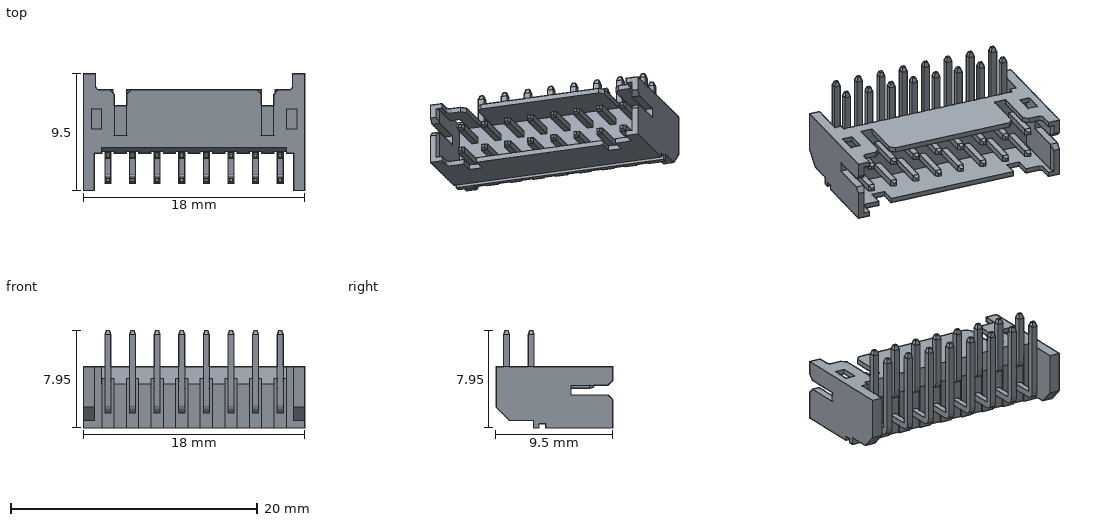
import cadquery as cq


HOUSING_LENGTH = 18.0
HOUSING_HEIGHT = 5.0
HALF_LENGTH = HOUSING_LENGTH / 2
REAR_REACH = 3.02
FRONT_REACH = 6.48
SHROUD_FRONT = 5.18

REAR_WING_THICKNESS = 0.9
FRONT_WING_THICKNESS = 1.0
WING_FILLET = 0.3
WING_BOTTOM = 0.6
WING_CHAMFER = 1.1
NOTCH_BOTTOM = 2.7
NOTCH_TOP = 3.47
NOTCH_DEPTH = 3.4
NOTCH_LEAD_IN = 0.4
GROOVE_REAR = 0.48
GROOVE_WIDTH = 0.53
GROOVE_DEPTH = 0.35

CAVITY_HALF_LENGTH = 8.35
CAVITY_REAR = 1.48
MOUTH_FLARE = 0.15
MOUTH_FLARE_LENGTH = 0.35
WALL_THICKNESS = 0.4
CAVITY_HEIGHT = HOUSING_HEIGHT - 2 * WALL_THICKNESS

SLOT_INNER_X = 5.48
TOP_SLOT_OUTER_X = 6.47
BOTTOM_SLOT_OUTER_X = 6.58
BOTTOM_SLOT_REAR = 3.88
SLOT_CORNER_CHAMFER = 0.38
WINDOW_INNER_X = 7.52
WINDOW_REAR = 2.0
WINDOW_LENGTH = 1.6

BEVEL_HALF_LENGTH = 7.53
BEVEL_DEPTH = 0.47
BEVEL_HEIGHT = 1.4
RELIEF_DEPTH = 0.14
RELIEF_WIDTH = 1.0

PIN_PITCH = 2.0
PINS_PER_ROW = 8
ROW_SPACING = 2.0
PIN_SIZE = 0.5
PIN_TOP = 7.95
PIN_FRONT = 4.95
TIP_LENGTH = 0.36
TIP_SIZE = 0.25
OUTER_BEND_RADIUS = 0.55
INNER_BEND_RADIUS = 0.2
LOWER_ROW_Z = 1.47
LOWER_ROW_Y = -2.17


def box(x_min, x_max, y_min, y_max, z_min, z_max):
    """Axis-aligned block between the given limits."""
    block = cq.Workplane("XY").box(x_max - x_min, y_max - y_min, z_max - z_min, centered=False)
    return block.translate((x_min, y_min, z_min))


def mirrored(shape):
    """The shape joined with its mirror image across X = 0."""
    return shape.union(shape.mirror("YZ"))


def plan_outline():
    """Housing plan: shroud block with end walls reaching to the front and rear."""
    rear_inner = HALF_LENGTH - REAR_WING_THICKNESS
    front_inner = HALF_LENGTH - FRONT_WING_THICKNESS
    half = (
        cq.Workplane("XY")
        .moveTo(0, 0)
        .lineTo(rear_inner, 0)
        .lineTo(rear_inner, -REAR_REACH)
        .lineTo(HALF_LENGTH, -REAR_REACH)
        .lineTo(HALF_LENGTH, FRONT_REACH)
        .lineTo(front_inner, FRONT_REACH)
        .lineTo(front_inner, SHROUD_FRONT + WING_FILLET)
        .radiusArc((front_inner - WING_FILLET, SHROUD_FRONT), WING_FILLET)
        .lineTo(0, SHROUD_FRONT)
        .close()
        .extrude(HOUSING_HEIGHT)
    )
    return mirrored(half)


def side_outline():
    """Housing side profile: stepped rear feet, bottom groove and front notch."""
    groove_front = GROOVE_REAR + GROOVE_WIDTH
    notch_end = FRONT_REACH - NOTCH_DEPTH
    lead_in_start = FRONT_REACH - NOTCH_LEAD_IN
    points = [
        (-REAR_REACH, HOUSING_HEIGHT),
        (-REAR_REACH, WING_BOTTOM + WING_CHAMFER),
        (-REAR_REACH + WING_CHAMFER, WING_BOTTOM),
        (0, WING_BOTTOM),
        (0, 0),
        (GROOVE_REAR, 0),
        (GROOVE_REAR, GROOVE_DEPTH),
        (groove_front, GROOVE_DEPTH),
        (groove_front, 0),
        (FRONT_REACH, 0),
        (FRONT_REACH, NOTCH_BOTTOM - NOTCH_LEAD_IN),
        (lead_in_start, NOTCH_BOTTOM),
        (notch_end, NOTCH_BOTTOM),
        (notch_end, NOTCH_TOP),
        (lead_in_start, NOTCH_TOP),
        (FRONT_REACH, NOTCH_TOP + NOTCH_LEAD_IN),
        (FRONT_REACH, HOUSING_HEIGHT),
    ]
    return cq.Workplane("YZ").polyline(points).close().extrude(HALF_LENGTH, both=True)


def cavity():
    """Mating cavity, open toward +Y, with its end faces flared at the mouth."""
    flare_start = FRONT_REACH - MOUTH_FLARE_LENGTH
    mouth_half_length = CAVITY_HALF_LENGTH + MOUTH_FLARE
    points = [
        (0, CAVITY_REAR),
        (CAVITY_HALF_LENGTH, CAVITY_REAR),
        (CAVITY_HALF_LENGTH, flare_start),
        (mouth_half_length, FRONT_REACH),
        (0, FRONT_REACH),
    ]
    profile = cq.Workplane("XY").workplane(offset=WALL_THICKNESS).polyline(points).close()
    return mirrored(profile.extrude(CAVITY_HEIGHT))


def top_slot():
    """Top wall slot that widens at its mouth by a corner chamfer on each side."""
    ceiling = HOUSING_HEIGHT - WALL_THICKNESS
    chamfer_start = SHROUD_FRONT - SLOT_CORNER_CHAMFER
    points = [
        (SLOT_INNER_X, CAVITY_REAR),
        (TOP_SLOT_OUTER_X, CAVITY_REAR),
        (TOP_SLOT_OUTER_X, chamfer_start),
        (TOP_SLOT_OUTER_X + SLOT_CORNER_CHAMFER, SHROUD_FRONT),
        (SLOT_INNER_X - SLOT_CORNER_CHAMFER, SHROUD_FRONT),
        (SLOT_INNER_X, chamfer_start),
    ]
    profile = cq.Workplane("XY").workplane(offset=ceiling).polyline(points).close()
    return profile.extrude(WALL_THICKNESS)


def bottom_slot():
    """Shorter straight slot in the bottom wall, beneath the top slot."""
    return box(SLOT_INNER_X, BOTTOM_SLOT_OUTER_X, BOTTOM_SLOT_REAR, SHROUD_FRONT, 0, WALL_THICKNESS)


def lock_window():
    """Rectangular opening through the top wall beside the end wall."""
    window_front = WINDOW_REAR + WINDOW_LENGTH
    ceiling = HOUSING_HEIGHT - WALL_THICKNESS
    return box(WINDOW_INNER_X, CAVITY_HALF_LENGTH, WINDOW_REAR, window_front, ceiling, HOUSING_HEIGHT)


def rear_bevel():
    """Steep bevel along the top rear edge of the shroud block."""
    points = [(0, HOUSING_HEIGHT), (BEVEL_DEPTH, HOUSING_HEIGHT), (0, HOUSING_HEIGHT - BEVEL_HEIGHT)]
    return cq.Workplane("YZ").polyline(points).close().extrude(BEVEL_HALF_LENGTH, both=True)


def pin_positions():
    """X position of every pin in a row."""
    first = -PIN_PITCH * (PINS_PER_ROW - 1) / 2
    return [first + PIN_PITCH * index for index in range(PINS_PER_ROW)]


def pin_relief(x):
    """Shallow full-height channel in the rear face behind one pin pair."""
    x_min = max(x - RELIEF_WIDTH / 2, -BEVEL_HALF_LENGTH)
    return box(x_min, x + RELIEF_WIDTH / 2, 0, RELIEF_DEPTH, 0, HOUSING_HEIGHT)


def pin_tip():
    """Tapered pin end, standing on Z = 0 and pointing up."""
    base = cq.Workplane("XY").rect(PIN_SIZE, PIN_SIZE)
    return base.workplane(offset=TIP_LENGTH).rect(TIP_SIZE, TIP_SIZE).loft(combine=True)


def bent_pin(y, z):
    """L-shaped pin at X = 0: vertical leg centred on y, horizontal leg centred on z."""
    half = PIN_SIZE / 2
    leg_top = PIN_TOP - TIP_LENGTH
    leg_front = PIN_FRONT - TIP_LENGTH
    shank = (
        cq.Workplane("YZ")
        .moveTo(y - half, leg_top)
        .lineTo(y - half, z - half + OUTER_BEND_RADIUS)
        .radiusArc((y - half + OUTER_BEND_RADIUS, z - half), -OUTER_BEND_RADIUS)
        .lineTo(leg_front, z - half)
        .lineTo(leg_front, z + half)
        .lineTo(y + half + INNER_BEND_RADIUS, z + half)
        .radiusArc((y + half, z + half + INNER_BEND_RADIUS), INNER_BEND_RADIUS)
        .lineTo(y + half, leg_top)
        .close()
        .extrude(half, both=True)
    )
    upright_tip = pin_tip().translate((0, y, leg_top))
    mating_tip = pin_tip().rotate((0, 0, 0), (1, 0, 0), -90).translate((0, leg_front, z))
    return shank.union(upright_tip).union(mating_tip)


def make_housing():
    """Shroud with its cavity, slots, windows and rear relief."""
    housing = plan_outline().intersect(side_outline())
    housing = housing.cut(cavity())
    for opening in (top_slot(), bottom_slot(), lock_window()):
        housing = housing.cut(mirrored(opening))
    housing = housing.cut(rear_bevel())
    for x in pin_positions():
        housing = housing.cut(pin_relief(x))
    return housing


def add_pins(housing):
    """Both pin rows joined to the housing."""
    lower_pin = bent_pin(LOWER_ROW_Y, LOWER_ROW_Z)
    upper_pin = bent_pin(LOWER_ROW_Y + ROW_SPACING, LOWER_ROW_Z + ROW_SPACING)
    for x in pin_positions():
        housing = housing.union(lower_pin.translate((x, 0, 0)))
        housing = housing.union(upper_pin.translate((x, 0, 0)))
    return housing


result = add_pins(make_housing())